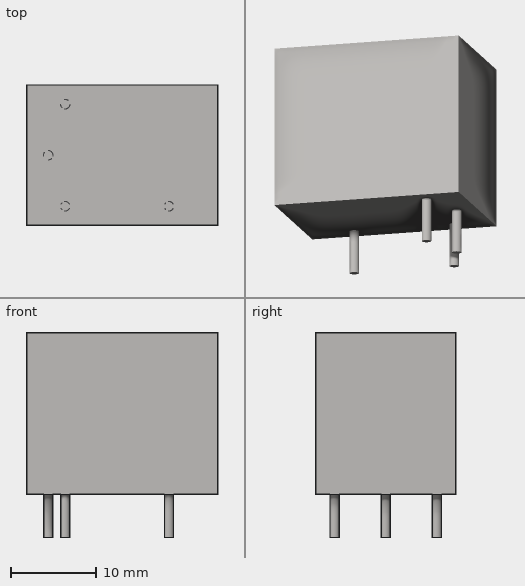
import cadquery as cq

housing_length = 22.5
housing_width = 16.5
overall_height = 24.1
pin_length = 5.09
housing_height = overall_height - pin_length

pin_diameter = 1.1
end_pin_x = -8.7
near_row_x = -6.7
far_row_x = 5.5
row_half_spacing = 6.0

pin_positions = [
    (end_pin_x, 0),
    (near_row_x, -row_half_spacing),
    (near_row_x, row_half_spacing),
    (far_row_x, -row_half_spacing),
]


def make_housing():
    """Rectangular block standing on the plane Z = 0."""
    return cq.Workplane("XY").rect(housing_length, housing_width).extrude(housing_height)


def make_pin(x, y):
    """Straight round pin hanging from the underside of the housing."""
    return cq.Workplane("XY").center(x, y).circle(pin_diameter / 2).extrude(-pin_length)


housing = make_housing()
pins = [make_pin(x, y) for x, y in pin_positions]

result = cq.Compound.makeCompound([housing.val(), *[pin.val() for pin in pins]])